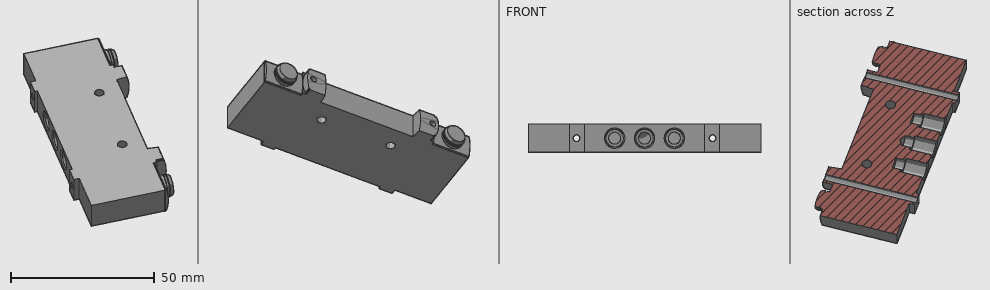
import cadquery as cq

overall_length = 81.4
lip_overhang = 0.2
body_length = overall_length - lip_overhang
height = 9.9
half_length = body_length / 2
half_height = height / 2
front_end_y = 1.95
front_middle_y = 1.0
back_middle_y = 29.2

crown_rise = 0.7
crown_peak_y = 30.2
crown_edge_y = crown_peak_y - crown_rise
crown_bevel_y = 0.5
crown_bevel_z = 0.25

lip_width = 0.25

tab_outer_x = 26.1
pad_inner_x = 20.9
tab_inner_base_x = 18.4
tab_inner_top_x = 18.9
tab_peak_y = 33.9
tab_outer_drop = 0.12
tab_crown_rise = 0.8
tab_notch_floor_y = 30.4
tab_notch_width = 1.3
tab_notch_depth = 0.5
tab_side_rise = 0.8

cross_hole_diameter = 3.25
cross_hole_x = 13.75
cross_hole_y = 21.4
long_hole_diameter = 2.3
long_hole_x = 23.8
port_spacing = 10.4
port_mouth_diameter = 7.1
port_diameter = 6.1
port_chamfer = (port_mouth_diameter - port_diameter) / 2
port_depth = 8.1
port_pilot_diameter = 4.2
port_pilot_depth = 11.4
port_cone_depth = 1.2

knob_x = 33.45
knob_collar_radius = 4.1
knob_radius = 3.75
knob_collar_top_y = 30.85
knob_flange_y = 31.7
knob_flange_thickness = 0.25
knob_top_y = 33.5
knob_cap_edge_y = 33.2
knob_cap_edge_radius = 3.5
knob_cap_bulge = 0.1
knob_root_y = 28.5


def box(x_min, x_max, y_min, y_max, z_min=-half_height, z_max=half_height):
    """Block given by its limits along each axis."""
    size = (x_max - x_min, y_max - y_min, z_max - z_min)
    return cq.Workplane("XY").box(*size, centered=False).translate((x_min, y_min, z_min))


def make_block():
    """Middle block with its front face between the pads and its back face between the tabs."""
    return box(-tab_outer_x, tab_outer_x, front_middle_y, back_middle_y)


def make_end():
    """-X end of the body, with a crowned and bevelled back face."""
    bevel_z = half_height - crown_bevel_z
    return (
        cq.Workplane("YZ", origin=(-half_length, 0, 0))
        .moveTo(front_end_y, -half_height)
        .lineTo(crown_edge_y - crown_bevel_y, -half_height)
        .lineTo(crown_edge_y, -bevel_z)
        .threePointArc((crown_peak_y, 0), (crown_edge_y, bevel_z))
        .lineTo(crown_edge_y - crown_bevel_y, half_height)
        .lineTo(front_end_y, half_height)
        .close()
        .extrude(half_length - tab_outer_x)
    )


def make_pad():
    """-X front pad, running back into the block."""
    return box(-tab_outer_x, -pad_inner_x, 0, back_middle_y)


def make_tab():
    """-X back tab: drafted inner side, sloping crowned top, notched and crowned outer side."""
    outline = (
        cq.Workplane("XY", origin=(0, 0, -half_height))
        .moveTo(-tab_outer_x, front_end_y)
        .lineTo(-tab_outer_x, tab_peak_y - tab_outer_drop)
        .lineTo(-tab_inner_top_x, tab_peak_y)
        .lineTo(-tab_inner_base_x, back_middle_y)
        .lineTo(-tab_inner_base_x, front_end_y)
        .close()
        .extrude(height)
    )
    crown = (
        cq.Workplane("YZ", origin=(-tab_outer_x, 0, 0))
        .moveTo(0, -half_height)
        .lineTo(tab_peak_y - tab_crown_rise, -half_height)
        .threePointArc((tab_peak_y, 0), (tab_peak_y - tab_crown_rise, half_height))
        .lineTo(0, half_height)
        .close()
        .extrude(tab_outer_x - tab_inner_base_x)
    )
    notch_inner_x = -tab_outer_x + tab_notch_width
    notch = box(-tab_outer_x, notch_inner_x, tab_notch_floor_y, tab_peak_y)
    core_half_height = half_height - tab_notch_depth
    core_edge_x = -tab_outer_x + tab_side_rise
    core = (
        cq.Workplane("XZ", origin=(0, tab_notch_floor_y, 0))
        .moveTo(notch_inner_x, -core_half_height)
        .lineTo(core_edge_x, -core_half_height)
        .threePointArc((-tab_outer_x, 0), (core_edge_x, core_half_height))
        .lineTo(notch_inner_x, core_half_height)
        .close()
        .extrude(tab_notch_floor_y - tab_peak_y)
    )
    return outline.intersect(crown).cut(notch.cut(core))


def make_knob():
    """-X knob: collar, neck, flange and a bulging cap with a crowned top."""
    flange_top_y = knob_flange_y + knob_flange_thickness
    cap_middle_radius = (knob_collar_radius + knob_cap_edge_radius) / 2 + knob_cap_bulge
    cap_middle_y = (flange_top_y + knob_cap_edge_y) / 2
    top_drop = knob_top_y - knob_cap_edge_y
    top_sphere_radius = (knob_cap_edge_radius**2 + top_drop**2) / (2 * top_drop)
    return (
        cq.Workplane("XY")
        .moveTo(0, knob_root_y)
        .lineTo(knob_collar_radius, knob_root_y)
        .lineTo(knob_collar_radius, knob_collar_top_y)
        .lineTo(knob_radius, knob_collar_top_y)
        .lineTo(knob_radius, knob_flange_y)
        .lineTo(knob_collar_radius, knob_flange_y)
        .lineTo(knob_collar_radius, flange_top_y)
        .threePointArc((cap_middle_radius, cap_middle_y), (knob_cap_edge_radius, knob_cap_edge_y))
        .radiusArc((0, knob_top_y), -top_sphere_radius)
        .close()
        .revolve(360, (0, 0, 0), (0, 1, 0))
        .translate((-knob_x, 0, 0))
    )


def make_lip():
    """Thin full-height lip where the bevel starts on the +X end."""
    lip_back_y = crown_edge_y - crown_bevel_y
    return box(tab_outer_x, half_length + lip_overhang, lip_back_y - lip_width, lip_back_y)


def make_port(x, cone_depth):
    """Chamfered port with a smaller pilot hole, ending flat or in a cone."""
    mouth_radius = port_mouth_diameter / 2
    radius = port_diameter / 2
    pilot_radius = port_pilot_diameter / 2
    mouth_y = front_middle_y
    return (
        cq.Workplane("XY")
        .moveTo(0, mouth_y)
        .lineTo(mouth_radius, mouth_y)
        .lineTo(radius, mouth_y + port_chamfer)
        .lineTo(radius, mouth_y + port_depth)
        .lineTo(pilot_radius, mouth_y + port_depth)
        .lineTo(pilot_radius, mouth_y + port_pilot_depth)
        .lineTo(0, mouth_y + port_pilot_depth + cone_depth)
        .close()
        .revolve(360, (0, 0, 0), (0, 1, 0))
        .translate((x, 0, 0))
    )


result = make_block().union(make_lip())
for feature in (make_end(), make_pad(), make_tab(), make_knob()):
    result = result.union(feature).union(feature.mirror("YZ"))

for side in (-1, 1):
    cross_hole = (
        cq.Workplane("XY", origin=(side * cross_hole_x, cross_hole_y, -half_height))
        .circle(cross_hole_diameter / 2)
        .extrude(height)
    )
    long_hole = (
        cq.Workplane("XZ", origin=(side * long_hole_x, 0, 0))
        .circle(long_hole_diameter / 2)
        .extrude(-tab_peak_y)
    )
    result = result.cut(cross_hole).cut(long_hole)

for x, cone_depth in ((-port_spacing, 0), (0, port_cone_depth), (port_spacing, 0)):
    result = result.cut(make_port(x, cone_depth))